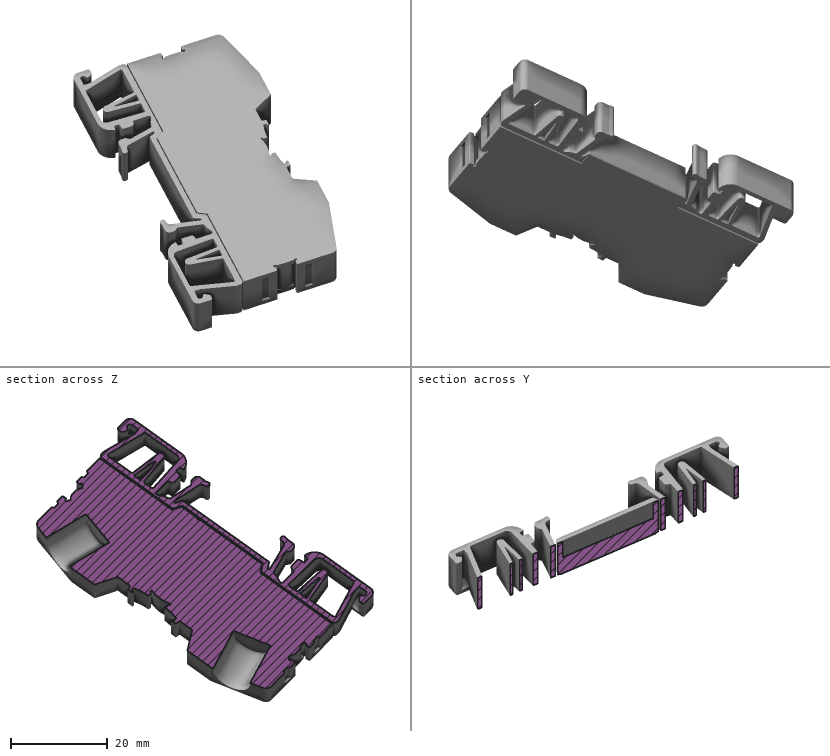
import cadquery as cq
import math


HALF_LENGTH = 33.2
HEIGHT = 36.0
WIDTH = 9.5
COVER_STEP = 0.2
FRAME_WIDTH = WIDTH - 2 * COVER_STEP
MID_Z = WIDTH / 2

BODY_END_X = -31.4
SEAM_Y = 11.7
SEAM_MID_Y = 9.85
SEAM_BEND_X = -11.9
SEAM_MID_X = -10.8
RAIL_FACE_Y = 8.55
RAIL_FACE_X = -11.7
COVER_SETBACK = 0.05
COVER_EDGE_Y = RAIL_FACE_Y + COVER_SETBACK
SEAM_GAP = 0.2
SHOULDER_Y = 32.6
ROOF_X = -18.8
DECK_Y = 31.5

ENTRY_DIAMETER = 8.4
ENTRY_DEPTH = 10.0
ENTRY_X = -23.4

SLOT_LENGTH = 7.1
SLOT_DEPTH = 0.5
SLOT_WIDTH = 1.65
SLOT_FLOOR_WIDTH = 1.25
NOTCH_MID_Y = 21.55
NOTCH_FACE_X = -30.15
NOTCH_BULGE = 0.1
NOTCH_LIP_X = -30.35
UNDERCUT_X = -29.85
END_SLOT_OFFSET = 4.8
RAMP_OFFSETS = (0.8, 1.4, 2.05)
RAMP_DEPTHS = (0.05, 0.3, 0.7)

FRAME_TOP_Y = SEAM_Y - SEAM_GAP
FRAME_END_X = -31.75
SOLE_THICKNESS = 1.0
TONGUE_ROOT_Y = 10.35
TONGUE_TIP_Y = 2.5
CATCH_X = -15.8
CATCH_WALL_X = -17.0
LATCH_HEEL_X = -13.4
LATCH_TIP_X = -9.65
HOOK_TOP_Y = 4.0
HOOK_INNER_X = -29.7
HOOK_INNER_Y = 1.3
HOOK_FLOOR = 1.0


def outline(corners):
    """Closed wire through (x, y) or (x, y, radius) corners; a radius rounds that corner."""
    wire = None
    count = len(corners)
    for index, corner in enumerate(corners):
        x, y = corner[:2]
        radius = corner[2] if len(corner) > 2 else 0
        previous_x, previous_y = corners[index - 1][:2]
        next_x, next_y = corners[(index + 1) % count][:2]
        in_angle = math.atan2(previous_y - y, previous_x - x)
        out_angle = math.atan2(next_y - y, next_x - x)
        half_angle = abs(math.remainder(out_angle - in_angle, 2 * math.pi)) / 2
        setback = radius / math.tan(half_angle)
        start = (x + setback * math.cos(in_angle), y + setback * math.sin(in_angle))
        wire = wire.lineTo(*start) if wire else cq.Workplane("XY").moveTo(*start)
        if radius:
            bisector = in_angle + math.remainder(out_angle - in_angle, 2 * math.pi) / 2
            reach = radius / math.sin(half_angle) - radius
            middle = (x + reach * math.cos(bisector), y + reach * math.sin(bisector))
            end = (x + setback * math.cos(out_angle), y + setback * math.sin(out_angle))
            wire = wire.threePointArc(middle, end)
    return wire.close()


def slab(corners, bottom, thickness):
    return outline(corners).extrude(thickness).translate((0, 0, bottom))


HOUSING_TOP = [
    (BODY_END_X, 19.2),
    (NOTCH_LIP_X, 19.35, 0.15),
    (NOTCH_LIP_X, 18.9),
    (UNDERCUT_X, 18.9),
    (UNDERCUT_X, 19.6),
    (NOTCH_FACE_X + NOTCH_BULGE, 19.6),
    (NOTCH_FACE_X, NOTCH_MID_Y),
    (NOTCH_FACE_X + NOTCH_BULGE, 23.5),
    (UNDERCUT_X, 23.5),
    (UNDERCUT_X, 24.1),
    (NOTCH_LIP_X, 24.1),
    (NOTCH_LIP_X, 23.65),
    (BODY_END_X, 23.65, 0.15),
    (BODY_END_X, SHOULDER_Y, 1.5),
    (ROOF_X, HEIGHT),
    (-12.45, HEIGHT),
    (-10.0, DECK_Y),
    (-6.7, DECK_Y),
    (-6.5, 32.5),
    (-5.15, 32.5),
    (-5.15, 32.1),
    (-5.6, 32.1),
    (-5.6, 31.4),
    (-3.9, 31.05),
    (-2.15, 30.9),
    (-2.15, 30.1),
    (-2.55, 29.8),
    (-2.55, 29.45),
    (-2.2, 29.6),
    (-1.1, 29.85),
    (0, 29.95),
]

SEAM = [
    (0, SEAM_MID_Y),
    (SEAM_MID_X, SEAM_MID_Y),
    (SEAM_BEND_X, SEAM_Y),
    (BODY_END_X, SEAM_Y),
]


def housing():
    upper = HOUSING_TOP + SEAM
    lower = HOUSING_TOP + [
        (0, COVER_EDGE_Y),
        (RAIL_FACE_X, COVER_EDGE_Y),
        (RAIL_FACE_X, SEAM_Y),
        (BODY_END_X, SEAM_Y),
    ]
    return slab(upper, COVER_STEP, WIDTH - COVER_STEP).union(slab(lower, 0, COVER_STEP))


def frame():
    """Foot, spring latch and rail face, with the hollow of the foot cut out."""
    profile = [
        (0, FRAME_TOP_Y),
        (FRAME_END_X, FRAME_TOP_Y, 0.8),
        (FRAME_END_X, 9.9, 1.0),
        (HOOK_INNER_X, 2.6),
        (HOOK_INNER_X, HOOK_INNER_Y),
        (-31.8, HOOK_INNER_Y, 0.2),
        (-32.1, 2.05, 0.2),
        (-31.2, 2.8, 0.1),
        (-31.6, 3.6, 0.1),
        (-32.0, HOOK_TOP_Y),
        (-HALF_LENGTH, HOOK_TOP_Y, 0.35),
        (-HALF_LENGTH, 0, 1.3),
        (-17.0, 0, 3.0),
        (-16.15, 2.75),
        (-17.25, 2.9, 0.1),
        (-17.25, 4.0),
        (CATCH_X, 4.2, 0.2),
        (CATCH_X, 6.8, 0.6),
        (CATCH_WALL_X, 7.0, 0.3),
        (CATCH_WALL_X, 11.0, 0.45),
        (-16.2, 10.75, 0.2),
        (-15.4, 10.3),
        (-14.0, 9.95, 0.2),
        (-12.75, 4.55),
        (LATCH_HEEL_X, 3.8, 0.3),
        (LATCH_HEEL_X, 1.95, 0.9),
        (-11.0, 1.95),
        (LATCH_TIP_X, 1.6, 0.55),
        (LATCH_TIP_X, 3.0, 0.55),
        (-11.25, 3.0, 1.0),
        (-12.85, 10.0, 0.15),
        (-12.4, 10.0, 0.15),
        (RAIL_FACE_X, RAIL_FACE_Y),
        (0, RAIL_FACE_Y),
    ]
    hollow = [
        (-30.7, 10.2, 0.4),
        (-28.15, SOLE_THICKNESS, 0.25),
        (-18.65, SOLE_THICKNESS, 1.1),
        (-18.25, TONGUE_ROOT_Y, 0.4),
        (-20.7, TONGUE_ROOT_Y, 0.4),
        (-21.2, TONGUE_TIP_Y, 0.8),
        (-22.75, TONGUE_TIP_Y, 0.8),
        (-23.9, 10.2, 0.4),
    ]
    tongue_gap = [
        (-23.2, TONGUE_ROOT_Y),
        (-22.15, 4.95, 0.1),
        (-21.95, 4.95, 0.1),
        (-21.5, TONGUE_ROOT_Y),
    ]
    hook_web = [
        (-32.4, HOOK_TOP_Y),
        (-32.4, SOLE_THICKNESS),
        (-29.0, SOLE_THICKNESS),
        (-30.1, HOOK_TOP_Y),
    ]
    body = slab(profile, COVER_STEP, FRAME_WIDTH)
    body = body.union(slab(hook_web, COVER_STEP, HOOK_FLOOR))
    for opening in (hollow, tongue_gap):
        body = body.cut(slab(opening, 0, WIDTH))
    return body


def wire_entry():
    """Blind round hole square to the sloping roof."""
    run = ROOF_X - BODY_END_X
    rise = HEIGHT - SHOULDER_Y
    slope = math.atan2(rise, run)
    entry_y = HEIGHT - (ROOF_X - ENTRY_X) * math.tan(slope)
    inward = cq.Vector(math.sin(slope), -math.cos(slope), 0)
    overshoot = 1.0
    mouth = cq.Vector(ENTRY_X, entry_y, MID_Z) - inward * overshoot
    return cq.Workplane(cq.Solid.makeCylinder(ENTRY_DIAMETER / 2, ENTRY_DEPTH + overshoot, mouth, inward))


def end_slots():
    """Tapered slots beside the notch and ramped slots inside it."""
    bottom = MID_Z - SLOT_LENGTH / 2
    cutters = cq.Workplane("XY")
    for side in (-1, 1):
        slot_y = NOTCH_MID_Y + side * END_SLOT_OFFSET
        slot = [
            (BODY_END_X, slot_y - SLOT_WIDTH / 2),
            (BODY_END_X + SLOT_DEPTH, slot_y - SLOT_FLOOR_WIDTH / 2),
            (BODY_END_X + SLOT_DEPTH, slot_y + SLOT_FLOOR_WIDTH / 2),
            (BODY_END_X, slot_y + SLOT_WIDTH / 2),
        ]
        ramp = [
            (NOTCH_FACE_X + depth, NOTCH_MID_Y + side * offset)
            for offset, depth in zip(RAMP_OFFSETS, RAMP_DEPTHS)
        ]
        ramp.append((NOTCH_FACE_X, NOTCH_MID_Y + side * RAMP_OFFSETS[-1]))
        ramp.append((NOTCH_FACE_X, NOTCH_MID_Y + side * RAMP_OFFSETS[0]))
        for cutter in (slot, ramp):
            cutters = cutters.add(slab(cutter, bottom, SLOT_LENGTH))
    return cutters.combine()


def seam_groove():
    """Narrow groove that follows the lower edge of the housing."""
    lower_edge = [(x, y - SEAM_GAP) for x, y in reversed(SEAM)]
    return slab(SEAM + lower_edge, MID_Z, WIDTH - MID_Z)


half = housing().union(frame())
for cutter in (wire_entry(), end_slots(), seam_groove()):
    half = half.cut(cutter)
result = half.union(half.mirror("YZ")).clean()